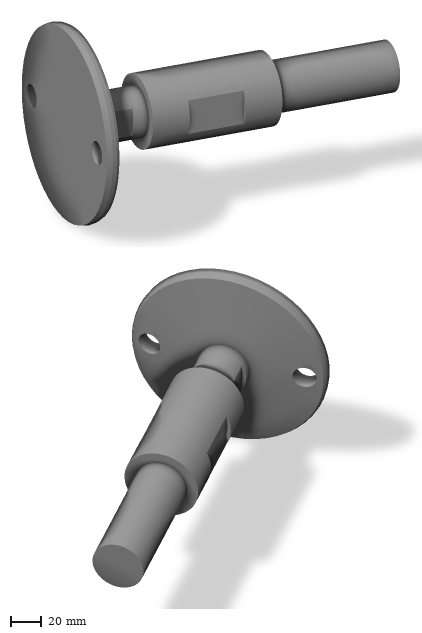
import cadquery as cq
import math

total_length = 238.0

foot_radius = 138.0 / 2
underside_radius = 68.3
ridge_height = 4.3
rim_radius = 68.5
rim_height = 7.4
shoulder_radius = 67.4
shoulder_height = 9.8
cone_height = 18.0

hole_diameter = 16.5
hole_offset = 52.5
hole_overrun = 12.0

spindle_diameter = 36.0
spindle_flat_width = 30.0
spindle_flat_start = 25.2
spindle_flat_length = 17.8

sleeve_diameter = 52.0
sleeve_start = 53.3
sleeve_length = 94.7
sleeve_flat_width = 46.0
sleeve_flat_length = 41.0
sleeve_flat_start = sleeve_start + (sleeve_length - sleeve_flat_length) / 2

spindle_radius = spindle_diameter / 2
cone_angle = math.atan2(cone_height - shoulder_height, shoulder_radius - spindle_radius)


def cylinder(diameter, start, length):
    """Solid cylinder along +Y from y = start."""
    return cq.Workplane(cq.Solid.makeCylinder(
        diameter / 2, length, cq.Vector(0, start, 0), cq.Vector(0, 1, 0)
    ))


def cut_flats(body, diameter, width_across, start, length):
    """Cut two opposite wrench flats, facing -X and +X."""
    for side in (-1, 1):
        cutter = cq.Workplane("XY").box(diameter, length, 2 * diameter).translate(
            (side * (width_across + diameter) / 2, start + length / 2, 0)
        )
        body = body.cut(cutter)
    return body


def mounting_hole(side):
    """Cutter that leans outward towards the top, square to the cone surface."""
    direction = cq.Vector(side * math.sin(cone_angle), math.cos(cone_angle), 0)
    base = cq.Vector(side * hole_offset, 0, 0) - direction * hole_overrun
    length = cone_height + 2 * hole_overrun
    return cq.Workplane(cq.Solid.makeCylinder(hole_diameter / 2, length, base, direction))


def make_foot_with_spindle():
    """Turned foot and spindle, with two mounting holes and wrench flats."""
    body = (
        cq.Workplane("XY")
        .polyline([
            (0, 0),
            (underside_radius, 0),
            (foot_radius, ridge_height),
            (rim_radius, rim_height),
            (shoulder_radius, shoulder_height),
            (spindle_radius, cone_height),
            (spindle_radius, total_length),
            (0, total_length),
        ])
        .close()
        .revolve(360, (0, 0, 0), (0, 1, 0))
    )
    for side in (-1, 1):
        body = body.cut(mounting_hole(side))
    return cut_flats(
        body, spindle_diameter, spindle_flat_width, spindle_flat_start, spindle_flat_length
    )


def make_sleeve():
    """Sleeve with wrench flats, bored to fit the spindle."""
    body = cylinder(sleeve_diameter, sleeve_start, sleeve_length)
    body = body.cut(cylinder(spindle_diameter, sleeve_start, sleeve_length))
    return cut_flats(
        body, sleeve_diameter, sleeve_flat_width, sleeve_flat_start, sleeve_flat_length
    )


foot_with_spindle = make_foot_with_spindle()
sleeve = make_sleeve()
result = cq.Compound.makeCompound([foot_with_spindle.val(), sleeve.val()])